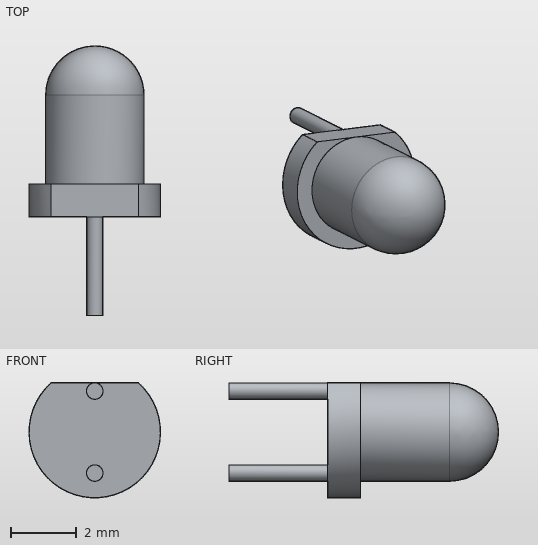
import cadquery as cq

total_length = 8.2

flange_diameter = 4.0
flange_thickness = 1.0

body_diameter = 3.0
body_radius = body_diameter / 2

lead_diameter = 0.5
lead_length = 3.0
lead_pitch = 2.49

flat_height = body_radius

body_length = total_length - lead_length - flange_thickness
dome_start = flange_thickness + body_length - body_radius


def make_flange():
    """Disc along +Y, cut flat on its +Z side."""
    disc = cq.Workplane("XZ").circle(flange_diameter / 2).extrude(-flange_thickness)
    below_flat = (
        cq.Workplane("XY")
        .box(flange_diameter, flange_thickness, flange_diameter, centered=(True, False, False))
        .translate((0, 0, flat_height - flange_diameter))
    )
    return disc.intersect(below_flat)


def make_lens():
    """Cylinder and dome, revolved about the Y axis."""
    dome_end = dome_start + body_radius
    return (
        cq.Workplane("XY")
        .moveTo(0, flange_thickness)
        .lineTo(body_radius, flange_thickness)
        .lineTo(body_radius, dome_start)
        .radiusArc((0, dome_end), -body_radius)
        .close()
        .revolve(360, (0, 0), (0, 1))
    )


def make_leads():
    """Two round leads along -Y, one above the other."""
    return (
        cq.Workplane("XZ")
        .pushPoints([(0, lead_pitch / 2), (0, -lead_pitch / 2)])
        .circle(lead_diameter / 2)
        .extrude(lead_length)
    )


result = make_flange().union(make_lens()).union(make_leads())